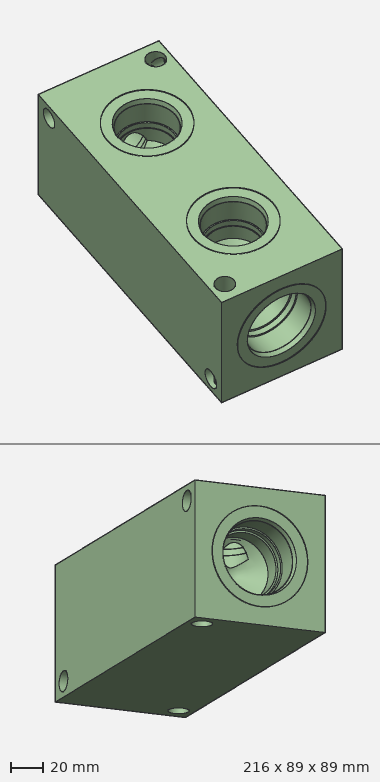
import cadquery as cq
import math

length = 216.0
side = 89.0

bolt_diameter = 13.4
bolt_end_inset = 12.7
bolt_side_inset = 10.4

top_port_inset = 57.2
drill_half_angle = math.radians(59)
end_port = dict(
    spotface_diameter=65.2,
    mouth_diameter=50.0,
    seat_diameter=48.1,
    thread_diameter=47.7,
    minor_diameter=45.5,
    drill_diameter=43.0,
    spotface_depth=0.6,
    seat_depth=4.0,
    thread_depth=19.9,
    minor_depth=24.2,
    drill_depth=36.5,
)
top_port = dict(
    spotface_diameter=58.5,
    mouth_diameter=43.6,
    seat_diameter=41.7,
    thread_diameter=41.2,
    minor_diameter=39.3,
    drill_diameter=38.0,
    spotface_depth=0.6,
    seat_depth=4.0,
    thread_depth=19.9,
    minor_depth=24.2,
    drill_depth=35.0,
)

taper_rim_diameter = 23.0
taper_half_angle = math.radians(15)


def turned(profile):
    """Solid of revolution about Z from an outline of (radius, height) points."""
    return cq.Workplane("XZ").polyline(profile).close().revolve(360, (0, 0, 0), (0, 1, 0))


def port_cavity(port):
    """Port opening at the origin along -Z: spotface, seal seat, thread bore and pointed drill."""
    spotface_radius = port["spotface_diameter"] / 2
    mouth_radius = port["mouth_diameter"] / 2
    seat_radius = port["seat_diameter"] / 2
    thread_radius = port["thread_diameter"] / 2
    minor_radius = port["minor_diameter"] / 2
    drill_radius = port["drill_diameter"] / 2
    tip_depth = port["drill_depth"] + drill_radius / math.tan(drill_half_angle)
    return turned([
        (0, 0),
        (spotface_radius, 0),
        (spotface_radius, -port["spotface_depth"]),
        (mouth_radius, -port["spotface_depth"]),
        (seat_radius, -port["seat_depth"]),
        (thread_radius, -port["seat_depth"]),
        (thread_radius, -port["thread_depth"]),
        (minor_radius, -port["thread_depth"]),
        (minor_radius, -port["minor_depth"]),
        (drill_radius, -port["minor_depth"]),
        (drill_radius, -port["drill_depth"]),
        (0, -tip_depth),
    ])


def taper_cavity(port):
    """Cone along -Z that leaves the port's drill tip at the rim diameter."""
    rim_radius = taper_rim_diameter / 2
    rim_below_drill = (port["drill_diameter"] / 2 - rim_radius) / math.tan(drill_half_angle)
    rim_depth = port["drill_depth"] + rim_below_drill
    tip_depth = rim_depth + rim_radius / math.tan(taper_half_angle)
    start_depth = port["drill_depth"]
    start_radius = (tip_depth - start_depth) * math.tan(taper_half_angle)
    return turned([(0, -start_depth), (start_radius, -start_depth), (0, -tip_depth)])


result = cq.Workplane("XY").box(length, side, side, centered=False)

for x, across in [(bolt_end_inset, side - bolt_side_inset), (length - bolt_end_inset, bolt_side_inset)]:
    along_z = cq.Workplane("XY").center(x, across).circle(bolt_diameter / 2).extrude(side)
    along_y = cq.Workplane("XZ").center(x, across).circle(bolt_diameter / 2).extrude(-side)
    result = result.cut(along_z).cut(along_y)

for x in (top_port_inset, length - top_port_inset):
    result = result.cut(port_cavity(top_port).translate((x, side / 2, side)))

result = result.cut(taper_cavity(top_port).translate((length - top_port_inset, side / 2, side)))

for x, turn in [(0, -90), (length, 90)]:
    cavity = port_cavity(end_port).rotate((0, 0, 0), (0, 1, 0), turn)
    result = result.cut(cavity.translate((x, side / 2, side / 2)))